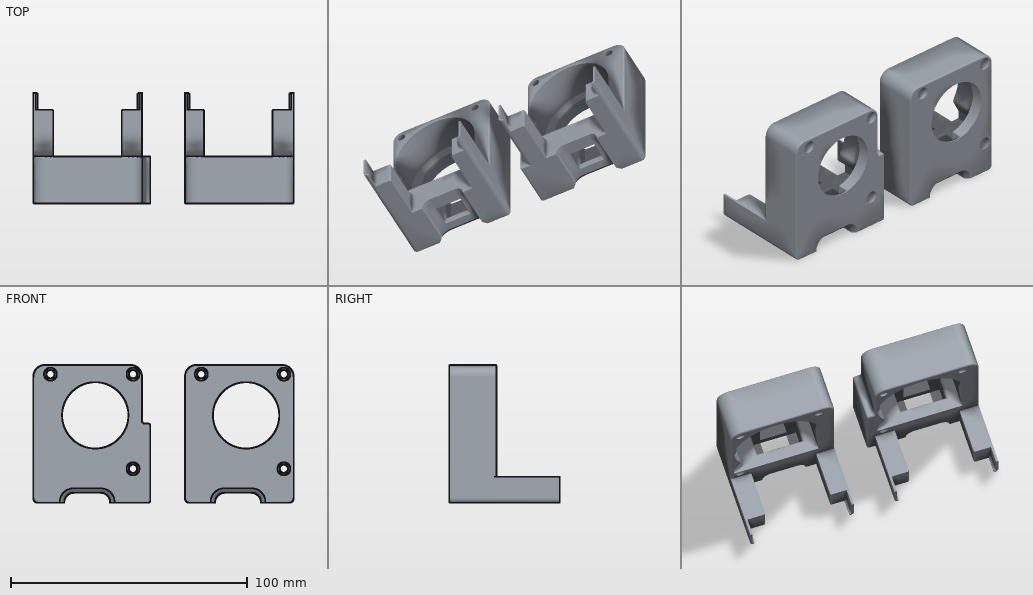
import cadquery as cq
import math

total_width = 110.0
block_width = 46.0
block_depth = 20.0
block_height = 58.3
top_radius = 5.0
bottom_radius = 2.0
edge_radius = 0.7

step_width = 3.5
step_height = 33.5
step_radius = 1.0

arm_reach = 46.8
arm_height = 11.1
shelf_end = 39.7
wall = 1.0
left_shelf_inset = 17.7
right_shelf_inset = 11.1
shelf_chamfer = 0.4
lip_chamfer = 0.5

bore_diameter = 27.9
bore_height = 37.0
front_plate = 5.4
chamber_radius = 18.7
chamber_floor = 16.3
tongue_x = 15.4
tongue_foot = 20.0
tongue_diameter = 4.7
first_bore_x = 26.2
second_bore_x = 89.9

well_width = 20.1
well_back = 14.4
rim_radius = 1.1
slot_width = 11.9
slot_floor = 7.5
front_skin = 0.4

screw_left = -18.9
screw_right = 16.0
screw_top = 54.3
screw_bottom = 14.4
head_diameter = 5.5
screw_diameter = 3.4
head_depth = 4.4
bridge_layer = 0.3

notch_offset = -3.4
notch_width = 19.2
notch_height = 4.2
notch_radius = 3.8
notch_flare = 2.0

pick_margin = 0.1
overrun = 1.1


def box(x0, x1, y0, y1, z0, z1):
    return cq.Workplane("XY").box(x1 - x0, y1 - y0, z1 - z0, centered=False).translate((x0, y0, z0))


def cylinder(x, z, diameter, y0, y1):
    """Round bar along Y from y0 to y1."""
    return cq.Workplane("XZ", origin=(x, y0, z)).circle(diameter / 2).extrude(y0 - y1)


def edges_in(body, direction, x0, x1, y0, y1):
    """Edges of body along direction whose centres lie in the X and Y ranges, at any height."""
    low = (x0 - pick_margin, y0 - pick_margin, -overrun)
    high = (x1 + pick_margin, y1 + pick_margin, block_height + overrun)
    return body.edges(direction).edges(cq.selectors.BoxSelector(low, high))


def block(left, right, stepped):
    """Outer block with rounded corners; the stepped one is wider on the right below the step."""
    body = box(left, right, 0, block_depth, 0, block_height)
    body = body.edges("|Y and >Z").fillet(top_radius)
    if stepped:
        step = box(left + block_width / 2, right + step_width, 0, block_depth, 0, step_height)
        step = step.edges("|Y and >X").fillet(step_radius)
        body = body.union(step)
        body = edges_in(body, "|Y", right, right, 0, block_depth).fillet(step_radius)
        body = body.edges("|Y and <Z and <X").fillet(bottom_radius)
    else:
        body = body.edges("|Y and <Z").fillet(bottom_radius)
    return body.faces("<Y or >Y").edges().fillet(edge_radius)


def arms(left, right, bore_x):
    """Two rear arms: a solid shelf, then a thin lip that curls under at the bottom."""
    outer = box(left, right, 0, arm_reach, 0, arm_height)
    gap = box(bore_x - left_shelf_inset, bore_x + right_shelf_inset, block_depth, arm_reach, 0, arm_height)
    inside = box(left + wall, right - wall, shelf_end, arm_reach, wall, arm_height)
    inside = inside.edges("|Y and <Z").fillet(bottom_radius - wall)
    opening = box(left + bottom_radius, right - bottom_radius, shelf_end, arm_reach, 0, arm_height)
    body = outer.cut(gap).cut(inside).cut(opening)
    shelf_left = bore_x - left_shelf_inset
    shelf_right = bore_x + right_shelf_inset
    body = edges_in(body, "|Z", shelf_left, shelf_right, shelf_end, shelf_end).chamfer(shelf_chamfer)
    lip_left = left + bottom_radius
    lip_right = right - bottom_radius
    body = edges_in(body, "|Z", lip_left, lip_right, arm_reach, arm_reach).chamfer(lip_chamfer)
    body = body.edges("|Y and <Z").edges("<X or >X").fillet(bottom_radius)
    return body.intersect(box(left, right, block_depth - edge_radius, arm_reach, 0, arm_height))


def chamber(bore_x):
    """Round rear chamber with a squared lower part; a rounded tongue stands between them on the right."""
    tongue_z = bore_height - math.sqrt(chamber_radius ** 2 - tongue_x ** 2)
    round_part = cylinder(bore_x, bore_height, 2 * chamber_radius, front_plate, block_depth)
    lower_part = (
        cq.Workplane("XZ", origin=(bore_x, front_plate, 0))
        .moveTo(-chamber_radius, chamber_floor)
        .lineTo(chamber_radius, chamber_floor)
        .lineTo(chamber_radius, tongue_foot)
        .lineTo(tongue_x, tongue_z)
        .lineTo(0, bore_height)
        .lineTo(-chamber_radius, bore_height)
        .close()
        .extrude(front_plate - block_depth)
    )
    tip = (bore_x + tongue_x, (front_plate + block_depth) / 2, tongue_z)
    space = round_part.union(lower_part)
    return space.edges("|Y").edges(cq.selectors.NearestToPointSelector(tip)).fillet(tongue_diameter / 2)


def well(x):
    """Opening in the chamber floor, carried forward as a slot behind a thin front skin."""
    half = well_width / 2
    shaft = box(x - half, x + half, front_plate, well_back, notch_height, chamber_floor)
    slot_half = slot_width / 2
    slot = box(x - slot_half, x + slot_half, front_skin, front_plate, slot_floor, bore_height)
    return shaft.union(slot)


def screw_hole(x, z):
    """Head recess, two thin bridging layers below it, then the round screw hole."""
    half = screw_diameter / 2
    slot_end = head_depth + bridge_layer
    head = cylinder(x, z, head_diameter, 0, head_depth)
    slot = cylinder(x, z, head_diameter, head_depth, slot_end)
    slot = slot.intersect(box(x - half, x + half, 0, block_depth, z - head_diameter, z + head_diameter))
    square = box(x - half, x + half, slot_end, slot_end + bridge_layer, z - half, z + half)
    shank = cylinder(x, z, screw_diameter, slot_end, block_depth)
    return head.union(slot).union(square).union(shank)


def arch(x, y, grow):
    """Closed outline of the notch, enlarged all round by grow."""
    half = notch_width / 2 + grow
    top = notch_height + grow
    radius = notch_radius + grow
    return (
        cq.Workplane("XZ", origin=(x, y, 0))
        .moveTo(-half, -overrun)
        .lineTo(-half, top - radius)
        .radiusArc((radius - half, top), radius)
        .lineTo(half - radius, top)
        .radiusArc((half, top - radius), radius)
        .lineTo(half, -overrun)
        .close()
    )


def notch(x):
    """Arched tunnel through the block with a flared front mouth."""
    tunnel = arch(x, 0, 0).extrude(-block_depth)
    flare = arch(x, 0, notch_flare).wires().vals() + arch(x, notch_flare, 0).wires().vals()
    return tunnel.union(cq.Workplane(cq.Solid.makeLoft(flare, True)))


def round_rim(body, x):
    """Round the back and side edges where the well opens through the chamber floor."""
    half = well_width / 2
    low = (x - half - pick_margin, front_plate + pick_margin, chamber_floor - pick_margin)
    high = (x + half + pick_margin, well_back + pick_margin, chamber_floor + pick_margin)
    return body.edges(cq.selectors.BoxSelector(low, high)).fillet(rim_radius)


def housing(left, bore_x, stepped):
    right = left + block_width
    notch_x = bore_x + notch_offset
    body = block(left, right, stepped).union(arms(left, right, bore_x))
    body = body.cut(cylinder(bore_x, bore_height, bore_diameter, 0, front_plate))
    body = body.cut(chamber(bore_x))
    body = body.cut(well(notch_x))
    body = body.cut(notch(notch_x))
    body = round_rim(body, notch_x)
    for x, z in [(screw_left, screw_top), (screw_right, screw_top), (screw_right, screw_bottom)]:
        body = body.cut(screw_hole(bore_x + x, z))
    return body


stepped_housing = housing(0, first_bore_x, True)
plain_housing = housing(total_width - block_width, second_bore_x, False)
result = cq.Compound.makeCompound([stepped_housing.val(), plain_housing.val()])